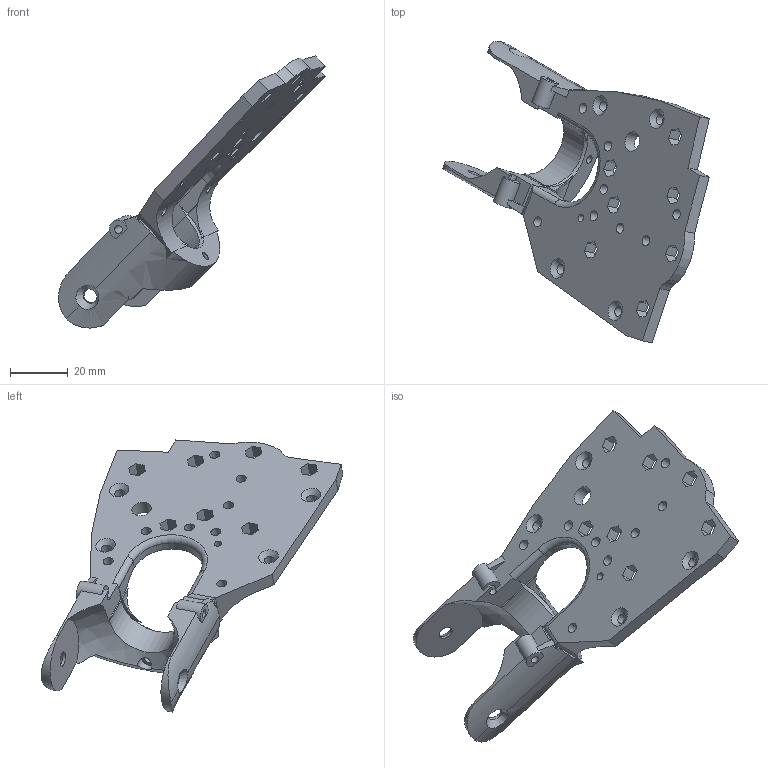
import cadquery as cq
import math

FRAME_ORIGIN = (-32.68, 26.05, -26.87)
FRAME_X_DIR = (0.6442, -0.3721, 0.6683)
FRAME_NORMAL = (-0.6778, 0.1271, 0.7242)

SIDES = (-1, 1)

PLATE_THICKNESS = 4.9
AXIS_Z = -7.25

BORE_RADIUS = 12.0
BORE_FLARE = 1.2
SLOT_RADIUS = 12.5
SLOT_END_X = 46.7
RIM_FILLET = 2.0
RIM_START_X = 33.0
RING_RADIUS = 24.3
RING_FRONT_X = 33.7
RING_FOOT_X = 32.2
RING_BOTTOM_Z = -27.2
UNDERSIDE_RADIUS = 12.5

ARM_RADIUS = 11.1
ARM_INNER_Y = 20.8
ARM_TOP_END_X = 25.8
SHOULDER_END_X = 34.0
SHOULDER_INNER_Y = 20.5
ARM_BOTTOM_END_X = 15.5
RING_BOTTOM_START_X = 21.0
SWIVEL_RADIUS = 25.0
HINGE_HOLE_RADIUS = 2.5
HINGE_SINK_RADIUS = 4.4
HINGE_SINK_DEPTH = 2.5

BOSS_X = 25.3
BOSS_Z = 1.5
BOSS_RADIUS = 3.3
BOSS_HOLE_RADIUS = 1.4
BOSS_INNER_Y = SLOT_RADIUS + 1.5
BOSS_OUTER_Y = RING_RADIUS - 1.0
BOTTOM_SCREW_Z = -23.5
BOTTOM_SCREW_RADIUS = 1.4
BOTTOM_SCREW_HEAD_RADIUS = 2.6
BOTTOM_SCREW_SEAT_X = 22.5

WEB_HOLE_DEPTH = 9.8
HOLE_OVERRUN = 1.0
SINK_HOLE_RADIUS = 1.75
SINK_RADIUS = 3.4
CABLE_HOLE_RADIUS = 3.4
NUT_CORNER_DIAMETER = 6.2
NUT_TURN = 30
PIN_HOLE_RADIUS = 1.75
PILOT_HOLE_RADIUS = 1.25
SINK_CENTRES = [(77.2, 29.9), (50.1, 24.0), (58.9, -33.6), (91.4, -36.4)]
CABLE_HOLE_CENTRE = (70.2, 18.6)
NUT_CENTRES = [
    (88.2, 27.6), (97.3, 9.3), (106.5, -8.7), (103.2, -30.9),
    (65.0, 6.5), (72.9, -4.1), (70.4, -22.0),
]
PIN_CENTRES = [
    (42.9, 20.1), (60.3, 12.9), (65.7, -1.1), (65.9, -11.0),
    (79.5, -10.2), (93.0, -9.5), (102.0, 4.0), (42.3, -22.8),
]
PILOT_CENTRE = (60.6, -14.0)


def prism_z(radius, x, y, bottom, top):
    """Upright cylinder in the local frame."""
    return cq.Workplane("XY", origin=(x, y, bottom)).circle(radius).extrude(top - bottom)


def cylinder_y(radius, x, z, start, end):
    """Cylinder parallel to the hinge axis."""
    direction = cq.Vector(0, math.copysign(1, end - start), 0)
    base = cq.Vector(x, start, z)
    return cq.Workplane(cq.Solid.makeCylinder(radius, abs(end - start), base, direction))


def cylinder_x(radius, z, start, end):
    """Cylinder parallel to the arms, in the middle plane of the clamp."""
    return cq.Workplane("YZ", origin=(start, 0, 0)).center(0, z).circle(radius).extrude(end - start)


def plate_prism(thickness):
    """Plate outline, extruded down from the top face."""
    outline = (
        cq.Workplane("XY", origin=(0, 0, -thickness))
        .moveTo(28.0, -19.9)
        .lineTo(35.0, -23.4)
        .lineTo(51.0, -38.2)
        .lineTo(100.7, -42.0)
        .lineTo(108.4, -40.8)
        .lineTo(107.2, -21.7)
        .threePointArc((108.1, -19.4), (109.7, -17.5))
        .threePointArc((111.4, -9.6), (108.5, 0.3))
        .lineTo(105.5, 20.1)
        .lineTo(99.1, 20.3)
        .lineTo(95.7, 38.1)
        .threePointArc((68.7, 34.7), (28.0, 20.3))
        .close()
    )
    return outline.extrude(thickness)


def ring_section(start, end):
    """Round outside of ring and arms: circular above the axis, flattened below it."""
    return (
        cq.Workplane("YZ", origin=(start, 0, AXIS_Z))
        .moveTo(RING_RADIUS, 0)
        .threePointArc((0, RING_RADIUS), (-RING_RADIUS, 0))
        .ellipseArc(RING_RADIUS, AXIS_Z - RING_BOTTOM_Z, 180, 360, startAtCurrent=True)
        .close()
        .extrude(end - start)
    )


def side_prism(points_of, half_width):
    """Side profile extruded along the hinge axis, evenly about the middle."""
    return points_of(cq.Workplane("XZ", origin=(0, half_width, 0))).close().extrude(2 * half_width)


def arm_profile(sketch):
    arm_top = AXIS_Z + ARM_RADIUS
    arm_bottom = AXIS_Z - ARM_RADIUS
    return (
        sketch.moveTo(0, arm_bottom)
        .threePointArc((-ARM_RADIUS, AXIS_Z), (0, arm_top))
        .lineTo(ARM_TOP_END_X, arm_top)
        .lineTo(ARM_TOP_END_X, 0)
        .lineTo(RING_FRONT_X, 0)
        .lineTo(RING_FRONT_X, -PLATE_THICKNESS - UNDERSIDE_RADIUS)
        .lineTo(RING_FOOT_X, RING_BOTTOM_Z)
        .lineTo(RING_BOTTOM_START_X, RING_BOTTOM_Z)
        .lineTo(ARM_BOTTOM_END_X, arm_bottom)
    )


def web_profile(sketch):
    """Concave blend from the ring's front up to the underside of the plate."""
    low_z = -PLATE_THICKNESS - UNDERSIDE_RADIUS
    far_x = RING_FRONT_X + UNDERSIDE_RADIUS
    offset = UNDERSIDE_RADIUS * math.sqrt(0.5)
    return (
        sketch.moveTo(ARM_TOP_END_X, -PLATE_THICKNESS)
        .lineTo(far_x, -PLATE_THICKNESS)
        .threePointArc((far_x - offset, low_z + offset), (RING_FRONT_X, low_z))
        .lineTo(ARM_TOP_END_X, low_z)
    )


def shoulder_profile(sketch):
    """Ramp from the arm's top down to the plate's top."""
    return (
        sketch.moveTo(ARM_TOP_END_X, AXIS_Z + ARM_RADIUS)
        .lineTo(SHOULDER_END_X, 0)
        .lineTo(ARM_TOP_END_X, 0)
    )


def clamp_and_arms():
    outside = ring_section(-ARM_RADIUS, SHOULDER_END_X)
    middle = cq.Workplane("XY").box(4 * SHOULDER_END_X, 2 * SHOULDER_INNER_Y, 4 * ARM_RADIUS)
    arms = side_prism(arm_profile, RING_RADIUS).intersect(outside)
    shoulders = side_prism(shoulder_profile, RING_RADIUS).intersect(outside).cut(middle)
    web_limit = plate_prism(PLATE_THICKNESS + UNDERSIDE_RADIUS)
    web = side_prism(web_profile, 2 * RING_RADIUS).intersect(web_limit)
    return arms.union(shoulders).union(web)


def swivel_clearance():
    ball = cq.Workplane("XY", origin=(0, 0, AXIS_Z)).sphere(SWIVEL_RADIUS)
    slab = cq.Workplane("XY", origin=(0, 0, AXIS_Z)).box(
        4 * SWIVEL_RADIUS, 2 * ARM_INNER_Y, 4 * SWIVEL_RADIUS
    )
    return ball.intersect(slab)


def slot():
    """Upright slot above the bore axis, open towards the arms."""
    height = 2 * ARM_RADIUS
    straight = cq.Workplane("XY", origin=(0, -SLOT_RADIUS, AXIS_Z)).rect(
        SLOT_END_X, 2 * SLOT_RADIUS, centered=False
    ).extrude(height)
    return straight.union(prism_z(SLOT_RADIUS, SLOT_END_X, 0, AXIS_Z, AXIS_Z + height))


def slot_rim():
    """Rounding of the slot's top edge: a block less the same block with a rounded slot in it."""
    block_end_x = SLOT_END_X + 2 * SLOT_RADIUS
    height = 2 * RIM_FILLET
    block = cq.Workplane("XY", origin=(RIM_START_X, -2 * SLOT_RADIUS, -height)).box(
        block_end_x - RIM_START_X, 4 * SLOT_RADIUS, height, centered=False
    )
    rim_zone = cq.selectors.BoxSelector(
        (RIM_START_X, -1.5 * SLOT_RADIUS, -RIM_FILLET),
        (block_end_x - RIM_FILLET, 1.5 * SLOT_RADIUS, RIM_FILLET),
    )
    return block.cut(block.cut(slot()).edges(rim_zone).edges("#Z").fillet(RIM_FILLET))


def bore():
    """Clamp bore, widened at its front mouth."""
    flare = cq.Solid.makeCone(
        BORE_RADIUS, BORE_RADIUS + BORE_FLARE, BORE_FLARE,
        cq.Vector(RING_FRONT_X - BORE_FLARE, 0, AXIS_Z), cq.Vector(1, 0, 0),
    )
    return cylinder_x(BORE_RADIUS, AXIS_Z, 0, SLOT_END_X).union(cq.Workplane(flare))


def bottom_screw():
    shank = cylinder_x(BOTTOM_SCREW_RADIUS, BOTTOM_SCREW_Z, 0, SLOT_END_X)
    return shank.union(cylinder_x(BOTTOM_SCREW_HEAD_RADIUS, BOTTOM_SCREW_Z, 0, BOTTOM_SCREW_SEAT_X))


def screw_boss(side):
    return cylinder_y(BOSS_RADIUS, BOSS_X, BOSS_Z, side * BOSS_INNER_Y, side * BOSS_OUTER_Y)


def boss_hole(side):
    return cylinder_y(BOSS_HOLE_RADIUS, BOSS_X, BOSS_Z, 0, side * 2 * RING_RADIUS)


def plate_holes():
    bottom = -WEB_HOLE_DEPTH
    cutters = prism_z(CABLE_HOLE_RADIUS, *CABLE_HOLE_CENTRE, bottom, HOLE_OVERRUN)
    cutters = cutters.union(prism_z(PILOT_HOLE_RADIUS, *PILOT_CENTRE, bottom, HOLE_OVERRUN))
    for x, y in PIN_CENTRES:
        cutters = cutters.union(prism_z(PIN_HOLE_RADIUS, x, y, bottom, HOLE_OVERRUN))
    for x, y in SINK_CENTRES:
        depth = SINK_RADIUS - SINK_HOLE_RADIUS
        cone = cq.Solid.makeCone(SINK_HOLE_RADIUS, SINK_RADIUS, depth, cq.Vector(x, y, -depth))
        cutters = cutters.union(prism_z(SINK_HOLE_RADIUS, x, y, bottom, HOLE_OVERRUN))
        cutters = cutters.union(cq.Workplane(cone))
    for x, y in NUT_CENTRES:
        nut = cq.Workplane("XY").polygon(6, NUT_CORNER_DIAMETER).extrude(-PLATE_THICKNESS)
        cutters = cutters.union(nut.rotate((0, 0, 0), (0, 0, 1), NUT_TURN).translate((x, y, 0)))
    return cutters


def hinge_hole(side):
    """Hinge hole in one arm, countersunk from outside."""
    hole = cylinder_y(HINGE_HOLE_RADIUS, 0, AXIS_Z, 0, side * RING_RADIUS)
    sink = cq.Solid.makeCone(
        HINGE_SINK_RADIUS, HINGE_HOLE_RADIUS, HINGE_SINK_DEPTH,
        cq.Vector(0, side * RING_RADIUS, AXIS_Z), cq.Vector(0, -side, 0),
    )
    return hole.union(cq.Workplane(sink))


local = plate_prism(PLATE_THICKNESS).union(clamp_and_arms())
for side in SIDES:
    local = local.union(screw_boss(side))
local = local.cut(swivel_clearance()).cut(slot()).cut(slot_rim())
local = local.cut(bore()).cut(bottom_screw()).cut(plate_holes())
for side in SIDES:
    local = local.cut(hinge_hole(side)).cut(boss_hole(side))

frame = cq.Plane(FRAME_ORIGIN, FRAME_X_DIR, FRAME_NORMAL)
result = cq.Workplane(local.val().moved(frame.location))